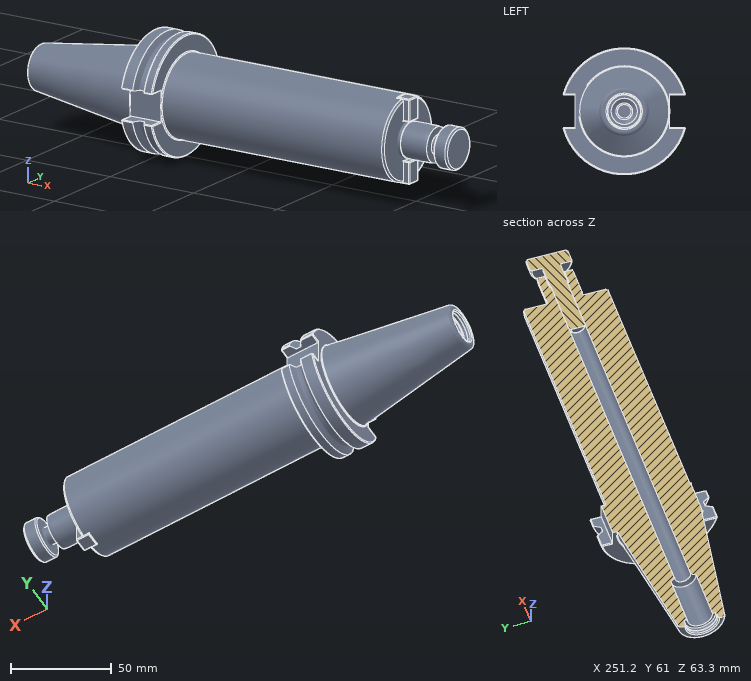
import cadquery as cq
import math

overall_length = 251.2
flange_start = 69.0
flange_end = 87.7
shank_end = 220.8
pilot_end = 238.2

taper_ratio = 7 / 24
shank_diameter = 44.5
taper_end_fillet = 2.0
shank_chamfer = 1.0

flange_diameter = 63.3
flange_chamfer = 0.5
flange_root_fillet = 0.5
groove_center = 79.5
groove_mouth = 6.8
groove_depth = 3.5
groove_half_angle = 30
groove_floor_fillet = 0.8
slot_width = 16.0
near_slot_floor = 22.5
far_slot_floor = 24.5

pilot_diameter = 19.0
relief_diameter = 18.5
relief_length = 1.8
relief_fillet = 0.8
pilot_lead = 2.0
pilot_lead_drop = 0.3

bore_mouth_diameter = 18.0
pilot_bore_diameter = 16.8
pilot_bore_depth = 2.0
thread_diameter = 16.3
thread_depth = 3.8
drill_diameter = 13.0
drill_depth = 30.2
drill_tip_angle = 118
neck_hole_diameter = 10.0
neck_hole_depth = 7.5

key_width = 8.0
key_end = 224.4
key_length = 7.8
key_inner_radius = 10.3
key_chamfer = 0.5
key_sides = (-1, 1)

neck_diameter = 9.5
screw_thread_diameter = 8.3
screw_tip_chamfer = 0.8
screw_start = 201.0
head_diameter = 22.0
head_length = 8.0
head_chamfer = 0.8
head_end_chamfer = 1.0
neck_fillet = 0.8


def revolve_profile(points):
    """Solid of revolution about X from (station, radius) points."""
    return cq.Workplane("XY").polyline(points).close().revolve(360, (0, 0, 0), (1, 0, 0))


def cylinder(start, end, diameter):
    return cq.Workplane("YZ", origin=(start, 0, 0)).circle(diameter / 2).extrude(end - start)


def root_fillet(face, diameter, fillet, direction):
    """Ring that rounds the corner between a flat face and a round stem leaving it along +X or -X."""
    stem = diameter / 2
    ring = (
        cq.Workplane("XY")
        .moveTo(face, stem)
        .lineTo(face, stem + fillet)
        .radiusArc((face + direction * fillet, stem), -direction * fillet)
        .close()
    )
    return ring.revolve(360, (0, 0, 0), (1, 0, 0))


def make_taper():
    big_radius = shank_diameter / 2
    small_radius = big_radius - flange_start * taper_ratio / 2
    taper = revolve_profile(
        [(0, 0), (0, small_radius), (flange_start, big_radius), (flange_start, 0)]
    )
    return taper.faces("<X").edges().fillet(taper_end_fillet)


def make_flange():
    flange = cylinder(flange_start, flange_end, flange_diameter)
    for side, floor in ((-1, near_slot_floor), (1, far_slot_floor)):
        flange = flange.cut(make_drive_slot(side, floor))
    rim_edges = flange.faces("%CYLINDER").edges()
    flange = flange.edges("|Y").add(rim_edges).chamfer(flange_chamfer)
    return flange.cut(make_groove())


def make_groove():
    """Ring-shaped cutter for the V groove, with rounded floor corners."""
    rim = flange_diameter / 2
    floor = rim - groove_depth
    half_mouth = groove_mouth / 2
    half_floor = half_mouth - groove_depth * math.tan(math.radians(groove_half_angle))
    groove = revolve_profile(
        [
            (groove_center - half_floor, floor),
            (groove_center - half_mouth, rim),
            (groove_center + half_mouth, rim),
            (groove_center + half_floor, floor),
        ]
    )
    return groove.edges(cq.selectors.RadiusNthSelector(0)).fillet(groove_floor_fillet)


def make_drive_slot(side, floor):
    """Cutter for a drive slot across the flange on the -Y (side = -1) or +Y (side = 1) side."""
    return (
        cq.Workplane("XY")
        .box(flange_end - flange_start, flange_diameter, slot_width, centered=(False, True, True))
        .translate((flange_start, side * (floor + flange_diameter / 2), 0))
    )


def make_pilot():
    radius = pilot_diameter / 2
    relief_end = shank_end + relief_length
    relief_radius = relief_diameter / 2
    return revolve_profile(
        [
            (shank_end, 0),
            (shank_end, relief_radius),
            (relief_end, relief_radius),
            (relief_end, radius),
            (pilot_end - pilot_lead, radius),
            (pilot_end, radius - pilot_lead_drop),
            (pilot_end, 0),
        ]
    )


def make_bore():
    mouth_chamfer = (bore_mouth_diameter - pilot_bore_diameter) / 2
    drill_radius = drill_diameter / 2
    hole_radius = screw_thread_diameter / 2
    tip_length = (drill_radius - hole_radius) / math.tan(math.radians(drill_tip_angle / 2))
    return revolve_profile(
        [
            (0, 0),
            (0, bore_mouth_diameter / 2),
            (mouth_chamfer, pilot_bore_diameter / 2),
            (pilot_bore_depth, pilot_bore_diameter / 2),
            (pilot_bore_depth, thread_diameter / 2),
            (thread_depth, thread_diameter / 2),
            (thread_depth, drill_radius),
            (drill_depth, drill_radius),
            (drill_depth + tip_length, hole_radius),
            (pilot_end - neck_hole_depth, hole_radius),
            (pilot_end - neck_hole_depth, neck_hole_diameter / 2),
            (pilot_end, neck_hole_diameter / 2),
            (pilot_end, 0),
        ]
    )


def make_key_block(side):
    """Plain block at the top (side = 1) or bottom (side = -1) of the shank's front face."""
    height = shank_diameter / 2 - key_inner_radius
    center = (key_end - key_length / 2, 0, side * (key_inner_radius + height / 2))
    return cq.Workplane("XY").box(key_length, key_width, height).translate(center)


def make_key(side):
    return make_key_block(side).edges().chamfer(key_chamfer)


def make_arbor():
    shank = cylinder(flange_end, shank_end, shank_diameter).faces(">X").edges().chamfer(shank_chamfer)
    arbor = make_taper().union(make_flange()).union(shank).union(make_pilot())
    arbor = arbor.union(root_fillet(flange_start, shank_diameter, flange_root_fillet, -1))
    arbor = arbor.union(root_fillet(flange_end, shank_diameter, flange_root_fillet, 1))
    arbor = arbor.union(root_fillet(shank_end, relief_diameter, relief_fillet, 1))
    arbor = arbor.cut(make_bore())
    for side in key_sides:
        arbor = arbor.cut(make_key_block(side))
    return arbor


def make_screw():
    head_start = overall_length - head_length
    neck_start = pilot_end - neck_hole_depth
    thread = cylinder(screw_start, neck_start, screw_thread_diameter)
    thread = thread.faces("<X").edges().chamfer(screw_tip_chamfer)
    neck = cylinder(neck_start, head_start, neck_diameter)
    head = cylinder(head_start, overall_length, head_diameter)
    head = head.faces("<X").edges().chamfer(head_chamfer)
    head = head.faces(">X").edges().chamfer(head_end_chamfer)
    corner = root_fillet(head_start, neck_diameter, neck_fillet, -1)
    return thread.union(neck).union(head).union(corner)


arbor = make_arbor()
keys = [make_key(side) for side in key_sides]
screw = make_screw()

result = cq.Compound.makeCompound([arbor.val(), *[key.val() for key in keys], screw.val()])